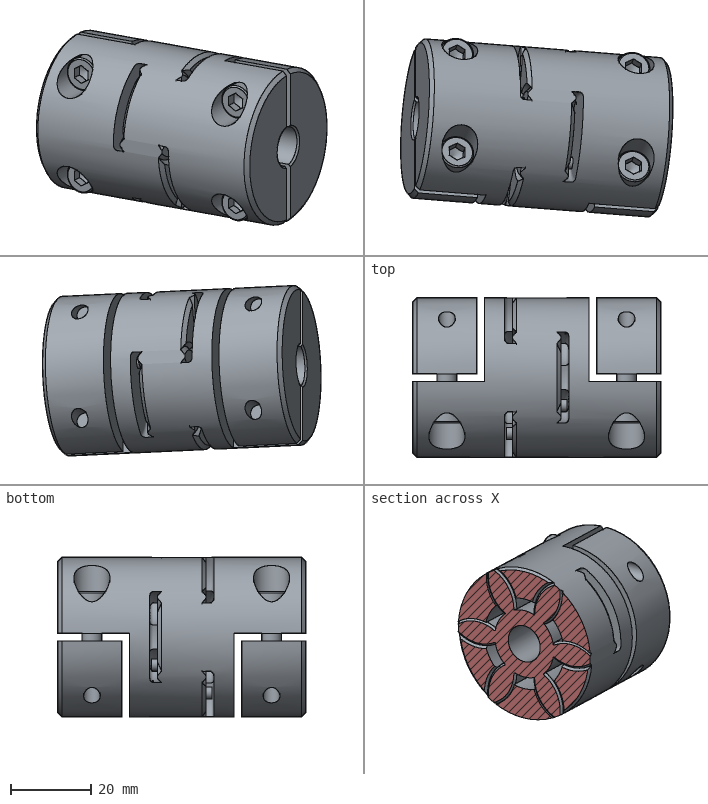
import cadquery as cq
import math

length = 62.0
outer_diameter = 40.0
outer_radius = outer_diameter / 2
end_chamfer = 1.05

hub_bore = 10.0
bore_chamfer = 0.5
spider_bore = 9.5

jaw_count = 3
leg_count = 2 * jaw_count
leg_pitch = 360 / leg_count
leg_width = 3.2
flank_radius = 10.65
leg_middle_radius = 13.95
jaw_inner_radius = 11.95
spider_core_diameter = 18.0
hub_face = 8.0
spider_half_length = 6.1
root_fillet = 1.0
tip_chamfer = 1.05
leg_end_chamfer = 1.0

leg_edge_reach = math.sqrt(outer_radius**2 - (leg_width / 2) ** 2)
flank_offset = math.sqrt(flank_radius**2 - (leg_edge_reach - leg_middle_radius) ** 2) - leg_width / 2

pin_diameter = 3.0
pin_end = 7.55

slit_width = 1.85
cross_slit_start = 13.1

screw_x = 22.45
screw_z = 13.45
head_diameter = 8.5
head_height = 5.0
head_chamfer = 0.4
head_top = -11.4
head_seat = head_top + head_height
counterbore_diameter = 9.0
clearance_diameter = 5.4
shank_diameter = 5.0
shank_length = 16.0
tapped_diameter = 4.15
socket_sides = 6
socket_flats = 4.0
socket_depth = 2.5
socket_cone_depth = 1.35


def x_cylinder(diameter, start, end):
    return cq.Workplane("YZ", origin=(start, 0, 0)).circle(diameter / 2).extrude(end - start)


def y_cylinder(diameter, start, end, z):
    """Cylinder along Y on the axis of the clamp screw at height z."""
    plane = cq.Workplane(cq.Plane((screw_x, start, z), xDir=(1, 0, 0), normal=(0, 1, 0)))
    return plane.circle(diameter / 2).extrude(end - start)


def around_axis(body, angle):
    """Turn a body from the -Y direction by an angle towards +Z."""
    return body.rotate((0, 0, 0), (1, 0, 0), -angle)


def x_cone(start_diameter, end_diameter, start, end):
    cone = cq.Solid.makeCone(
        start_diameter / 2, end_diameter / 2, end - start,
        pnt=cq.Vector(start, 0, 0), dir=cq.Vector(1, 0, 0),
    )
    return cq.Workplane(obj=cone)


def leg_outline(disc):
    """Overlap of two equal discs whose rims become the bulging flanks of the leg on the -Y direction."""
    upper = disc.translate((0, -leg_middle_radius, flank_offset))
    lower = disc.translate((0, -leg_middle_radius, -flank_offset))
    return upper.intersect(lower)


def make_flank_cutter():
    """Leg outline that flares at the jaw tip and rounds off at the jaw root."""
    tip = -spider_half_length
    flank_diameter = 2 * flank_radius
    disc = x_cylinder(flank_diameter, tip, hub_face).faces(">X").edges().fillet(root_fillet)
    flare = x_cone(flank_diameter + 2 * tip_chamfer, flank_diameter, tip, tip + tip_chamfer)
    return leg_outline(disc.union(flare))


def make_jaw():
    """One jaw centred on the -Y direction, with its tip towards -X."""
    tip = -spider_half_length
    reach = outer_diameter
    spread = reach * math.tan(math.radians(leg_pitch / 2))
    sector = (
        cq.Workplane("YZ", origin=(tip, 0, 0))
        .polyline([(0, 0), (-reach, spread), (-reach, -spread)])
        .close()
        .extrude(hub_face - tip)
    )
    ring = x_cylinder(outer_diameter, tip, hub_face).faces("<X").chamfer(tip_chamfer)
    inside = x_cylinder(2 * jaw_inner_radius, tip, hub_face).faces(">X").edges().fillet(root_fillet)
    ring = ring.cut(inside)
    jaw = sector.intersect(ring)
    flank_cutter = make_flank_cutter()
    for side in (-1, 1):
        jaw = jaw.cut(around_axis(flank_cutter, side * leg_pitch / 2))
    return jaw


def cut_split_clamp(hub):
    """Separate the +Y half of the clamp by a lengthwise slit and a cross slit."""
    clamp_length = length / 2 - cross_slit_start
    lengthwise = cq.Workplane().box(clamp_length, slit_width, outer_diameter, centered=(False, True, True))
    cross_depth = outer_radius + slit_width / 2
    crosswise = cq.Workplane().box(slit_width, cross_depth, outer_diameter, centered=(False, False, True))
    hub = hub.cut(lengthwise.translate((cross_slit_start, 0, 0)))
    return hub.cut(crosswise.translate((cross_slit_start, -slit_width / 2, 0)))


def cut_screw_hole(hub, z):
    hub = hub.cut(y_cylinder(counterbore_diameter, -outer_radius, head_seat, z))
    hub = hub.cut(y_cylinder(clearance_diameter, head_seat, 0, z))
    return hub.cut(y_cylinder(tapped_diameter, 0, outer_radius, z))


def make_screw(z):
    """Socket head screw with a hexagon socket that ends in a shallow cone."""
    head = y_cylinder(head_diameter, head_top, head_seat, z).faces("<Y").chamfer(head_chamfer)
    shank = y_cylinder(shank_diameter, head_seat, head_seat + shank_length, z)
    socket_corners = socket_flats / math.cos(math.pi / socket_sides)
    socket = (
        cq.Workplane("XZ")
        .polygon(socket_sides, socket_corners)
        .extrude(-socket_depth - socket_cone_depth)
        .rotate((0, 0, 0), (0, 1, 0), 180 / socket_sides)
        .translate((screw_x, head_top, z))
    )
    cone = cq.Workplane(obj=cq.Solid.makeCone(
        socket_corners / 2, 0, socket_cone_depth,
        pnt=cq.Vector(screw_x, head_top + socket_depth, z), dir=cq.Vector(0, 1, 0),
    ))
    drill = y_cylinder(socket_corners, head_top, head_top + socket_depth, z).union(cone)
    return head.union(shank).cut(socket.intersect(drill))


def make_hub():
    """Hub on the +X side, with its jaws, split clamp and screws."""
    hub = x_cylinder(outer_diameter, hub_face, length / 2)
    hub = hub.faces(">X").chamfer(end_chamfer)
    jaw = make_jaw()
    for index in range(jaw_count):
        hub = hub.union(around_axis(jaw, (2 * index + 0.5) * leg_pitch))
    bore = x_cylinder(hub_bore, hub_face, length / 2)
    bore_mouth = x_cone(hub_bore, hub_bore + 2 * bore_chamfer, length / 2 - bore_chamfer, length / 2)
    hub = cut_split_clamp(hub.cut(bore).cut(bore_mouth))
    for z in (-screw_z, screw_z):
        hub = cut_screw_hole(hub, z).union(make_screw(z))
    return hub


def make_leg():
    """Spider leg on the -Y direction with chamfered ends."""
    disc = x_cylinder(2 * flank_radius, -spider_half_length, spider_half_length)
    return leg_outline(disc.faces("<X or >X").chamfer(leg_end_chamfer))


def make_spider():
    """Elastic star that fills the gaps between the jaws of both hubs."""
    spider = x_cylinder(spider_core_diameter, -spider_half_length, spider_half_length)
    leg = make_leg()
    for index in range(leg_count):
        spider = spider.union(around_axis(leg, index * leg_pitch))
    envelope = x_cylinder(outer_diameter, -length / 2, length / 2)
    spider = spider.intersect(envelope)
    flat_zone = cq.Workplane().box(2 * spider_half_length, 2 * leg_edge_reach, outer_diameter)
    spider = spider.intersect(flat_zone)
    left_pin = x_cylinder(pin_diameter, -pin_end, 0).translate((0, -leg_middle_radius, 0))
    right_pin = left_pin.mirror("YZ")
    for index in range(jaw_count):
        spider = spider.union(around_axis(left_pin, 2 * index * leg_pitch))
        spider = spider.union(around_axis(right_pin, (2 * index + 1) * leg_pitch))
    return spider.cut(x_cylinder(spider_bore, -length / 2, length / 2))


right_hub = make_hub()
left_hub = right_hub.rotate((0, 0, 0), (0, 1, 0), 180)
result = right_hub.union(make_spider()).union(left_hub)